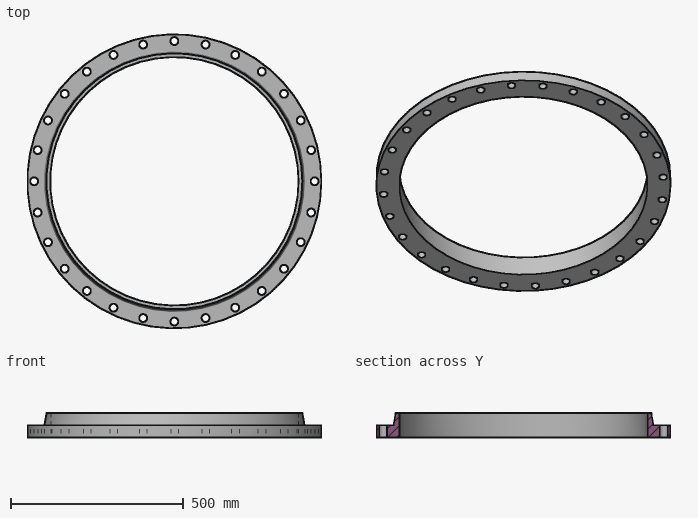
import cadquery as cq

FLANGE_DIAMETER = 850.9
FLANGE_THICKNESS = 36.5
BORE_DIAMETER = 717.5

TOTAL_HEIGHT = 71.44
HUB_BASE_DIAMETER = 753.6
HUB_TOP_DIAMETER = 741.4
HUB_FILLET_RADIUS = 1.8
LIP_DIAMETER = 739.0
LIP_BEVEL_HEIGHT = 1.5

BOLT_HOLE_COUNT = 28
BOLT_CIRCLE_DIAMETER = 811.2
BOLT_HOLE_DIAMETER = 22.2


def ring_body():
    """Flange, hub taper, lip bevel and bore, as one revolved section."""
    bore_radius = BORE_DIAMETER / 2
    flange_radius = FLANGE_DIAMETER / 2
    section = (
        cq.Workplane("XZ")
        .moveTo(bore_radius, 0)
        .lineTo(flange_radius, 0)
        .lineTo(flange_radius, FLANGE_THICKNESS)
        .lineTo(HUB_BASE_DIAMETER / 2, FLANGE_THICKNESS)
        .lineTo(HUB_TOP_DIAMETER / 2, TOTAL_HEIGHT - LIP_BEVEL_HEIGHT)
        .lineTo(LIP_DIAMETER / 2, TOTAL_HEIGHT)
        .lineTo(bore_radius, TOTAL_HEIGHT)
        .close()
    )
    return section.revolve(360, (0, 0, 0), (0, 1, 0))


def fillet_hub_base(body):
    """Round the inside corner where the hub meets the flange face."""
    flange_face = body.faces("|Z").faces(">Z[-2]")
    corner = flange_face.edges(cq.selectors.RadiusNthSelector(0))
    return corner.fillet(HUB_FILLET_RADIUS)


def bolt_holes():
    """Cylinders to cut the full circle of bolt holes through the flange."""
    return (
        cq.Workplane("XY")
        .polarArray(BOLT_CIRCLE_DIAMETER / 2, 0, 360, BOLT_HOLE_COUNT)
        .circle(BOLT_HOLE_DIAMETER / 2)
        .extrude(FLANGE_THICKNESS)
    )


result = fillet_hub_base(ring_body()).cut(bolt_holes())